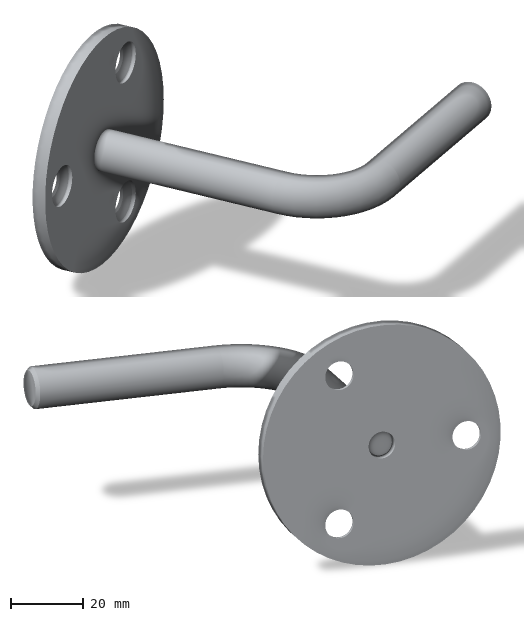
import cadquery as cq

plate_diameter = 70.0
plate_thickness = 4.0
screw_hole_diameter = 8.4
screw_land_depth = 1.0
head_bore_diameter = 12.0
head_bore_depth = 1.2
screw_circle_radius = 25.0
screw_count = 3

rod_diameter = 12.0
rod_end_y = 110 - plate_diameter / 2
rod_reach = 86.0
bend_radius = 20.0
tip_chamfer = 1.0

spigot_diameter = 7.8
spigot_recess = 1.5
spigot_chamfer = 0.4


def make_screw_hole():
    """Cutter along X: narrow land, conical seat, then a wide bore for the screw head."""
    hole_radius = screw_hole_diameter / 2
    head_radius = head_bore_diameter / 2
    seat_end_x = plate_thickness - head_bore_depth
    return (
        cq.Workplane("XY")
        .polyline([
            (0, 0),
            (0, hole_radius),
            (screw_land_depth, hole_radius),
            (seat_end_x, head_radius),
            (plate_thickness, head_radius),
            (plate_thickness, 0),
        ])
        .close()
        .revolve(360, (0, 0, 0), (1, 0, 0))
    )


def make_plate():
    """Disc with a ring of screw holes and a central hole for the spigot."""
    disc = (
        cq.Workplane("YZ")
        .circle(plate_diameter / 2)
        .circle(spigot_diameter / 2)
        .extrude(plate_thickness)
    )
    first_hole = make_screw_hole().translate((0, -screw_circle_radius, 0))
    for index in range(screw_count):
        angle = index * 360 / screw_count
        disc = disc.cut(first_hole.rotate((0, 0, 0), (1, 0, 0), angle))
    return disc


def make_rod():
    """Round rod with one right-angle bend, a chamfered tip and a spigot."""
    arm_x = rod_reach - rod_diameter / 2
    centreline = (
        cq.Workplane("XY")
        .moveTo(plate_thickness, 0)
        .lineTo(arm_x - bend_radius, 0)
        .tangentArcPoint((arm_x, bend_radius), relative=False)
        .lineTo(arm_x, rod_end_y)
    )
    bent_bar = (
        cq.Workplane("YZ", origin=(plate_thickness, 0, 0))
        .circle(rod_diameter / 2)
        .sweep(centreline)
        .faces(">Y")
        .chamfer(tip_chamfer)
    )
    spigot = (
        cq.Workplane("YZ", origin=(spigot_recess, 0, 0))
        .circle(spigot_diameter / 2)
        .extrude(plate_thickness - spigot_recess)
        .faces("<X")
        .chamfer(spigot_chamfer)
    )
    return bent_bar.union(spigot)


plate = make_plate()
rod = make_rod()
result = cq.Compound.makeCompound([plate.val(), rod.val()])